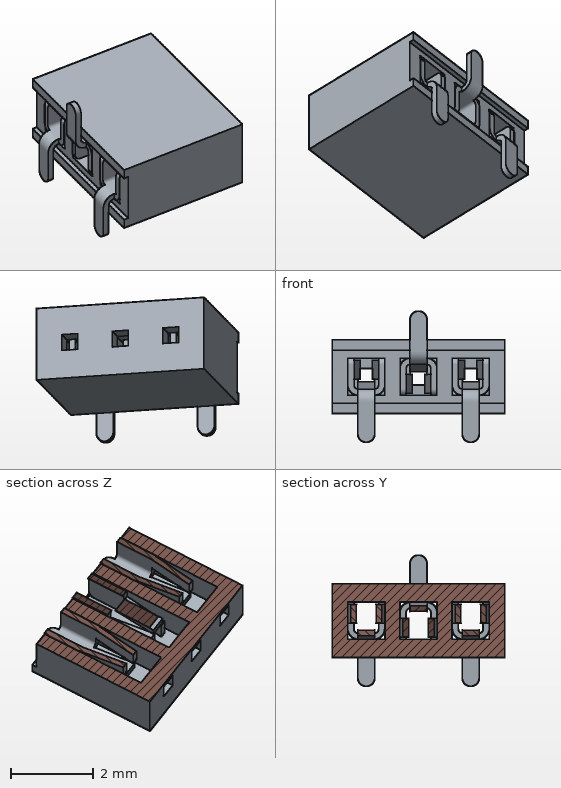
import cadquery as cq
import math

HOUSING_WIDTH = 4.21
HOUSING_DEPTH = 3.397
HOUSING_HEIGHT = 1.8
LIP_HEIGHT = 0.26
RECESS_DEPTH = 0.118
BACK_WALL = 0.5

PITCH = 1.27
CAVITY_SIZE = 0.9
ENTRY_HOLE_SIZE = 0.395

SHEET = 0.15
BEND_INNER_RADIUS = 0.15
BEND_OUTER_RADIUS = BEND_INNER_RADIUS + SHEET
CHANNEL_INNER_RADIUS = 0.095
CHANNEL_OUTER_RADIUS = CHANNEL_INNER_RADIUS + SHEET
CHANNEL_LENGTH = 1.01
WALL_END_RADIUS = 0.15
LEG_WIDTH = 0.42
LEG_REACH = 1.6
LEG_GAP = 0.05
FINGER_LENGTH = 1.18
SIDE_FINGER_HEIGHT = 0.46
SIDE_FINGER_DROP = 0.05
SIDE_FINGER_LEAN = 0.15
FLOOR_FINGER_RISE = 0.18

HALF_CAVITY = CAVITY_SIZE / 2
LEG_BACK_Y = -LEG_GAP
LEG_FRONT_Y = LEG_BACK_Y - SHEET
CHANNEL_FRONT_Y = LEG_BACK_Y + BEND_INNER_RADIUS
CHANNEL_BACK_Y = CHANNEL_FRONT_Y + CHANNEL_LENGTH
FINGER_TIP_Y = CHANNEL_BACK_Y + FINGER_LENGTH
FLOOR_TOP_Z = -HALF_CAVITY + SHEET
BEND_END_Z = -HALF_CAVITY - BEND_INNER_RADIUS

CONTACT_PLACES = [(-PITCH, 0), (0, 180), (PITCH, 0)]


def block(x_range, y_range, z_range):
    """Axis-aligned box between the given limits."""
    size = [high - low for low, high in (x_range, y_range, z_range)]
    corner = (x_range[0], y_range[0], z_range[0])
    return cq.Workplane("XY").box(*size, centered=False).translate(corner)


def centered_range(size):
    return (-size / 2, size / 2)


def make_housing():
    """Block with a recessed front and one stepped through opening per contact."""
    housing = block(
        centered_range(HOUSING_WIDTH), (0, HOUSING_DEPTH), centered_range(HOUSING_HEIGHT)
    )
    housing = housing.cut(block(
        centered_range(HOUSING_WIDTH),
        (0, RECESS_DEPTH),
        centered_range(HOUSING_HEIGHT - 2 * LIP_HEIGHT),
    ))
    cavity = block(
        centered_range(CAVITY_SIZE), (0, HOUSING_DEPTH - BACK_WALL), centered_range(CAVITY_SIZE)
    )
    entry_hole = block(
        centered_range(ENTRY_HOLE_SIZE), (0, HOUSING_DEPTH), centered_range(ENTRY_HOLE_SIZE)
    )
    opening = cavity.union(entry_hole)
    for x, _ in CONTACT_PLACES:
        housing = housing.cut(opening.translate((x, 0, 0)))
    return housing


def make_channel():
    """U channel, open at the top, with the front upper wall corners rounded."""
    y_range = (CHANNEL_FRONT_Y, CHANNEL_BACK_Y)
    outer = block(centered_range(CAVITY_SIZE), y_range, centered_range(CAVITY_SIZE))
    outer = outer.edges("|Y and <Z").fillet(CHANNEL_OUTER_RADIUS)
    inner = block(centered_range(CAVITY_SIZE - 2 * SHEET), y_range, (FLOOR_TOP_Z, HALF_CAVITY))
    inner = inner.edges("|Y and <Z").fillet(CHANNEL_INNER_RADIUS)
    return outer.cut(inner).edges("|X and >Z and <Y").fillet(WALL_END_RADIUS)


def make_leg():
    """Strip that bends down from the channel floor and ends in a round tip."""
    bend_mid = math.sqrt(0.5)
    outer_mid = (
        CHANNEL_FRONT_Y - BEND_OUTER_RADIUS * bend_mid,
        BEND_END_Z + BEND_OUTER_RADIUS * bend_mid,
    )
    inner_mid = (
        CHANNEL_FRONT_Y - BEND_INNER_RADIUS * bend_mid,
        BEND_END_Z + BEND_INNER_RADIUS * bend_mid,
    )
    strip = (
        cq.Workplane("YZ")
        .moveTo(CHANNEL_FRONT_Y, FLOOR_TOP_Z)
        .threePointArc(outer_mid, (LEG_FRONT_Y, BEND_END_Z))
        .lineTo(LEG_FRONT_Y, -LEG_REACH)
        .lineTo(LEG_BACK_Y, -LEG_REACH)
        .lineTo(LEG_BACK_Y, BEND_END_Z)
        .threePointArc(inner_mid, (CHANNEL_FRONT_Y, -HALF_CAVITY))
        .close()
        .extrude(LEG_WIDTH / 2, both=True)
    )
    tip_radius = LEG_WIDTH / 2
    tip_center_z = tip_radius - LEG_REACH
    tip_square = block(
        centered_range(LEG_WIDTH), (LEG_FRONT_Y, LEG_BACK_Y), (-LEG_REACH, tip_center_z)
    )
    tip_round = (
        cq.Workplane("XZ", origin=(0, LEG_BACK_Y, tip_center_z))
        .circle(tip_radius)
        .extrude(SHEET)
    )
    return strip.cut(tip_square).union(tip_round)


def make_side_finger():
    """Finger that continues the -X wall and leans inwards."""
    top_z = HALF_CAVITY - SIDE_FINGER_DROP
    outer_x = -HALF_CAVITY
    inner_x = outer_x + SHEET
    return (
        cq.Workplane("XY", origin=(0, 0, top_z - SIDE_FINGER_HEIGHT))
        .moveTo(outer_x, CHANNEL_BACK_Y)
        .lineTo(inner_x, CHANNEL_BACK_Y)
        .lineTo(inner_x + SIDE_FINGER_LEAN, FINGER_TIP_Y)
        .lineTo(outer_x + SIDE_FINGER_LEAN, FINGER_TIP_Y)
        .close()
        .extrude(SIDE_FINGER_HEIGHT)
    )


def make_floor_finger():
    """Finger that continues the floor and slopes upwards."""
    return (
        cq.Workplane("YZ")
        .moveTo(CHANNEL_BACK_Y, -HALF_CAVITY)
        .lineTo(CHANNEL_BACK_Y, FLOOR_TOP_Z)
        .lineTo(FINGER_TIP_Y, FLOOR_TOP_Z + FLOOR_FINGER_RISE)
        .lineTo(FINGER_TIP_Y, -HALF_CAVITY + FLOOR_FINGER_RISE)
        .close()
        .extrude(LEG_WIDTH / 2, both=True)
    )


def make_contact(x, turn):
    """One contact with its leg down, turned about its Y axis and moved to x."""
    side_finger = make_side_finger()
    contact = (
        make_channel()
        .union(make_leg())
        .union(side_finger)
        .union(side_finger.mirror("YZ"))
        .union(make_floor_finger())
    )
    return contact.rotate((0, 0, 0), (0, 1, 0), turn).translate((x, 0, 0))


housing = make_housing()
contacts = [make_contact(x, turn) for x, turn in CONTACT_PLACES]

result = cq.Compound.makeCompound(
    [housing.solids().val(), *[contact.solids().val() for contact in contacts]]
)